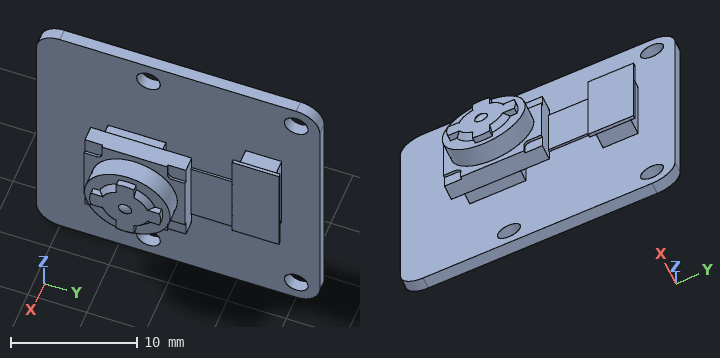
import cadquery as cq


BOARD_THICKNESS = 1.0
BOARD_WIDTH = 24.0
BOARD_HEIGHT = 25.0
BOARD_CORNER_RADIUS = 2.0
MOUNT_HOLE_DIAMETER = 2.0
MOUNT_HOLE_INSET = 2.0
MOUNT_HOLE_SPACING = 12.5

OUTER_HOLE_Y = BOARD_WIDTH / 2 - MOUNT_HOLE_INSET
INNER_HOLE_Y = OUTER_HOLE_Y - MOUNT_HOLE_SPACING
HOLE_Z = BOARD_HEIGHT / 2 - MOUNT_HOLE_INSET

SPACER_HEIGHT = 1.58
PAD_WIDTH = 4.9
PAD_LENGTH = 5.95
PAD_Y = -3.48

CONNECTOR_WIDTH = 3.05
CONNECTOR_LENGTH = 8.0
CONNECTOR_Y = 7.25
CONNECTOR_TOP_Z = 5.18
CABLE_END_THICKNESS = 0.28
CABLE_END_WIDTH = 3.98
CABLE_END_MARGIN = 0.55
CABLE_STRIP_THICKNESS = 0.18
CABLE_STRIP_WIDTH = 6.0

HOUSING_SIDE = 8.55
HOUSING_HEIGHT = 1.5
CORNER_NOTCH_SIDE = 1.5
CORNER_NOTCH_DEPTH = 0.2
CORNER_NOTCH_FILLET = 0.45

LENS_Y = -2.52
BARREL_DIAMETER = 7.25
BARREL_HEIGHT = 1.62
CROWN_DIAMETER = 6.0
CROWN_HEIGHT = 0.5
CROWN_RIB_WIDTH = 1.5
CONE_BASE_RADIUS = 2.45
CONE_TOP_RADIUS = 2.02
LENS_DOME_DIAMETER = 1.5

SPACER_TOP_X = BOARD_THICKNESS + SPACER_HEIGHT
HOUSING_TOP_X = SPACER_TOP_X + HOUSING_HEIGHT
BARREL_TOP_X = HOUSING_TOP_X + BARREL_HEIGHT
CONNECTOR_Z = CONNECTOR_TOP_Z - CONNECTOR_LENGTH / 2


def plane_at(x, y=0, z=0):
    """Sketch plane facing +X, with local x along Y and local y along Z."""
    return cq.Workplane("YZ", origin=(x, y, z))


def make_board():
    board = plane_at(0).rect(BOARD_WIDTH, BOARD_HEIGHT).extrude(BOARD_THICKNESS)
    board = board.edges("|X").fillet(BOARD_CORNER_RADIUS)
    hole_centers = [(y, z) for y in (OUTER_HOLE_Y, INNER_HOLE_Y) for z in (-HOLE_Z, HOLE_Z)]
    holes = plane_at(0).pushPoints(hole_centers).circle(MOUNT_HOLE_DIAMETER / 2).extrude(BOARD_THICKNESS)
    return board.cut(holes)


def make_pad():
    return plane_at(BOARD_THICKNESS, PAD_Y).rect(PAD_WIDTH, PAD_LENGTH).extrude(SPACER_HEIGHT)


def make_connector():
    base = plane_at(BOARD_THICKNESS, CONNECTOR_Y, CONNECTOR_Z)
    return base.rect(CONNECTOR_WIDTH, CONNECTOR_LENGTH).extrude(SPACER_HEIGHT)


def make_cable():
    """Stiff end on the connector, joined to the housing by a thinner strip."""
    end_length = CONNECTOR_LENGTH + 2 * CABLE_END_MARGIN
    end_base = plane_at(SPACER_TOP_X, CONNECTOR_Y, CONNECTOR_Z)
    end = end_base.rect(CABLE_END_WIDTH, end_length).extrude(CABLE_END_THICKNESS)

    strip_length = CONNECTOR_Y - LENS_Y
    strip_base = plane_at(SPACER_TOP_X, LENS_Y + strip_length / 2)
    strip = strip_base.rect(strip_length, CABLE_STRIP_WIDTH).extrude(CABLE_STRIP_THICKNESS)
    return end.union(strip)


def make_housing():
    """Square block with a shallow notch, rounded on the inside, in each top corner."""
    housing = plane_at(SPACER_TOP_X, LENS_Y).rect(HOUSING_SIDE, HOUSING_SIDE).extrude(HOUSING_HEIGHT)
    cutters = (
        plane_at(HOUSING_TOP_X - CORNER_NOTCH_DEPTH, LENS_Y)
        .rect(HOUSING_SIDE, HOUSING_SIDE, forConstruction=True)
        .vertices()
        .rect(2 * CORNER_NOTCH_SIDE, 2 * CORNER_NOTCH_SIDE)
        .extrude(CORNER_NOTCH_DEPTH)
        .edges("|X")
        .fillet(CORNER_NOTCH_FILLET)
    )
    return housing.cut(cutters)


def make_lens():
    """Round barrel topped by a cone, a cross of grip ribs and the dome of the glass."""
    barrel = plane_at(HOUSING_TOP_X, LENS_Y).circle(BARREL_DIAMETER / 2).extrude(BARREL_HEIGHT)

    top = plane_at(BARREL_TOP_X, LENS_Y)
    cone = (
        top.circle(CONE_BASE_RADIUS)
        .workplane(offset=CROWN_HEIGHT)
        .circle(CONE_TOP_RADIUS)
        .loft(combine=True)
    )
    rib_along_y = top.rect(CROWN_DIAMETER, CROWN_RIB_WIDTH).extrude(CROWN_HEIGHT)
    rib_along_z = top.rect(CROWN_RIB_WIDTH, CROWN_DIAMETER).extrude(CROWN_HEIGHT)
    crown_disc = top.circle(CROWN_DIAMETER / 2).extrude(CROWN_HEIGHT)
    ribs = rib_along_y.union(rib_along_z).intersect(crown_disc)

    dome = top.sphere(LENS_DOME_DIAMETER / 2)
    return barrel.union(cone).union(ribs).union(dome)


result = (
    make_board()
    .union(make_pad())
    .union(make_connector())
    .union(make_cable())
    .union(make_housing())
    .union(make_lens())
)